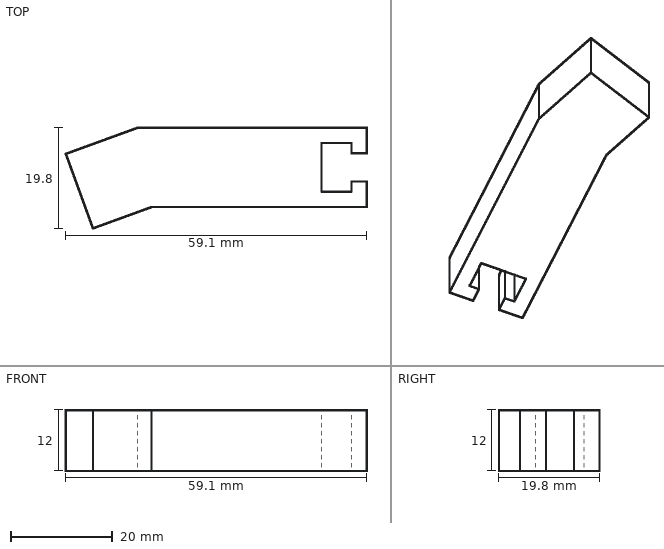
import cadquery as cq
import math

length = 59.1
height = 12.0
width = 15.6

bend_angle = math.radians(20)
arm_outer_length = 15.0

slot_depth = 8.85
slot_width = 9.5
mouth_depth = 3.0
mouth_width = 5.5


def bent_bar():
    """Constant-width bar with its -X end turned towards -Y."""
    half_length = length / 2
    half_width = width / 2
    tip_x = -half_length
    outer_bend_x = tip_x + arm_outer_length * math.cos(bend_angle)
    tip_y = half_width - arm_outer_length * math.sin(bend_angle)
    inner_bend_x = outer_bend_x + width * math.tan(bend_angle / 2)
    outline = [
        (half_length, half_width),
        (outer_bend_x, half_width),
        (tip_x, tip_y),
        (tip_x + width * math.sin(bend_angle), tip_y - width * math.cos(bend_angle)),
        (inner_bend_x, -half_width),
        (half_length, -half_width),
    ]
    return cq.Workplane("XY").polyline(outline).close().extrude(height)


def end_cut(start_depth, end_depth, cut_width):
    """Full-height rectangular cut between two depths from the +X end."""
    cut_length = end_depth - start_depth
    center_x = length / 2 - (start_depth + end_depth) / 2
    return cq.Workplane("XY").center(center_x, 0).rect(cut_length, cut_width).extrude(height)


slot_mouth = end_cut(0, mouth_depth, mouth_width)
slot_pocket = end_cut(mouth_depth, slot_depth, slot_width)
result = bent_bar().cut(slot_mouth).cut(slot_pocket)